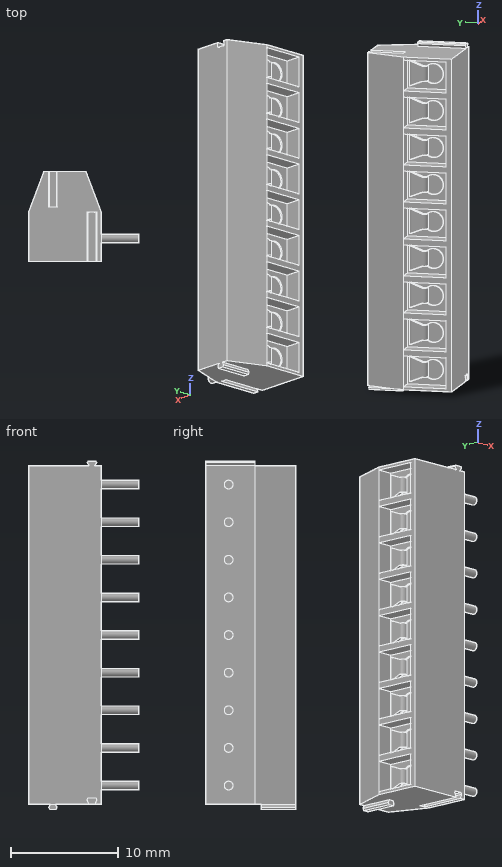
import cadquery as cq

pole_count = 9
pitch = 3.5

body_width = 6.8
body_depth = 8.4
body_height = pole_count * pitch
shoulder_y = 4.6
slope_inset_x = 1.43

opening_height = 2.92
opening_bottom_y = 0.55
opening_depth = 1.62

pole_axis_y = 2.15
screw_radius = 0.95
screw_recess = 0.15

guard_rise = 0.4
guard_top_y = 4.4
guard_taper_end_y = 3.08
guard_bottom_y = 2.65
guard_wide_half = 1.23
guard_neck_half = 0.7

pin_diameter = 0.8
pin_end_x = 10.3

rail_x = 5.9
rail_length = shoulder_y
rail_height = 0.42
tab_x = 2.27
tab_length = 3.25
tab_height = 0.5
rib_widest_height = 0.3
rib_neck_half = 0.25

rail_groove_depth = 0.6
tab_groove_length = 3.3
tab_groove_depth = 0.5
groove_widest_depth = 0.42
groove_widest_half = 0.45

rail_widest_half = 0.45
rail_end_half = 0.35
tab_widest_half = 0.4
tab_end_half = 0.3
rail_groove_mouth_half = 0.3
rail_groove_end_half = 0.4
tab_groove_mouth_half = 0.4
tab_groove_end_half = 0.32


def pole_centers():
    return [pitch * (index + 0.5) for index in range(pole_count)]


def make_body():
    outline = [
        (0, 0),
        (body_width, 0),
        (body_width, shoulder_y),
        (body_width - slope_inset_x, body_depth),
        (slope_inset_x, body_depth),
        (0, shoulder_y),
    ]
    return cq.Workplane("XY").polyline(outline).close().extrude(body_height)


def hex_bar(x, z, y_start, y_end, neck_half, widest, end):
    """Bar along Y whose section widens from its neck at height z, then narrows at its end.

    widest and end are (half width, signed Z distance from z).
    """
    right_side = [(neck_half, 0), widest, end]
    left_side = [(-half, rise) for half, rise in reversed(right_side)]
    section = [(x + half, z + rise) for half, rise in right_side + left_side]
    length = y_end - y_start
    return cq.Workplane("XZ", origin=(0, y_start, 0)).polyline(section).close().extrude(-length)


def opening(z):
    pocket = cq.Workplane("XY").box(
        opening_depth, shoulder_y - opening_bottom_y, opening_height, centered=(False, False, True)
    )
    recess = (
        cq.Workplane("YZ")
        .center(pole_axis_y, 0)
        .circle(screw_radius)
        .extrude(opening_depth + screw_recess)
    )
    return pocket.translate((0, opening_bottom_y, 0)).union(recess).translate((0, 0, z))


def wire_guard(z):
    front_x = opening_depth - guard_rise
    root_x = opening_depth + screw_recess
    rounded_block = (
        cq.Workplane("XY")
        .rect(root_x - front_x, guard_top_y - guard_bottom_y)
        .extrude(guard_wide_half, both=True)
        .edges("|Z and <X")
        .fillet(guard_rise)
        .translate(((front_x + root_x) / 2, (guard_top_y + guard_bottom_y) / 2, 0))
    )
    outline = [
        (guard_bottom_y, guard_neck_half),
        (guard_taper_end_y, guard_neck_half),
        (guard_top_y, guard_wide_half),
        (guard_top_y, -guard_wide_half),
        (guard_taper_end_y, -guard_neck_half),
        (guard_bottom_y, -guard_neck_half),
    ]
    tapered_face = cq.Workplane("YZ").polyline(outline).close().extrude(root_x)
    return rounded_block.intersect(tapered_face).translate((0, 0, z))


def pin(z):
    return (
        cq.Workplane("YZ", origin=(body_width / 2, pole_axis_y, z))
        .circle(pin_diameter / 2)
        .extrude(pin_end_x - body_width / 2)
    )


result = make_body()
for center_z in pole_centers():
    result = result.cut(opening(center_z)).union(wire_guard(center_z)).union(pin(center_z))

rail = hex_bar(
    rail_x, body_height, 0, rail_length,
    rib_neck_half, (rail_widest_half, rib_widest_height), (rail_end_half, rail_height),
)
tab = hex_bar(
    tab_x, 0, body_depth - tab_length, body_depth,
    rib_neck_half, (tab_widest_half, -rib_widest_height), (tab_end_half, -tab_height),
)
rail_groove = hex_bar(
    rail_x, 0, 0, rail_length,
    rail_groove_mouth_half,
    (groove_widest_half, groove_widest_depth),
    (rail_groove_end_half, rail_groove_depth),
)
tab_groove = hex_bar(
    tab_x, body_height, body_depth - tab_groove_length, body_depth,
    tab_groove_mouth_half,
    (groove_widest_half, -groove_widest_depth),
    (tab_groove_end_half, -tab_groove_depth),
)
result = result.union(rail).union(tab).cut(rail_groove).cut(tab_groove)